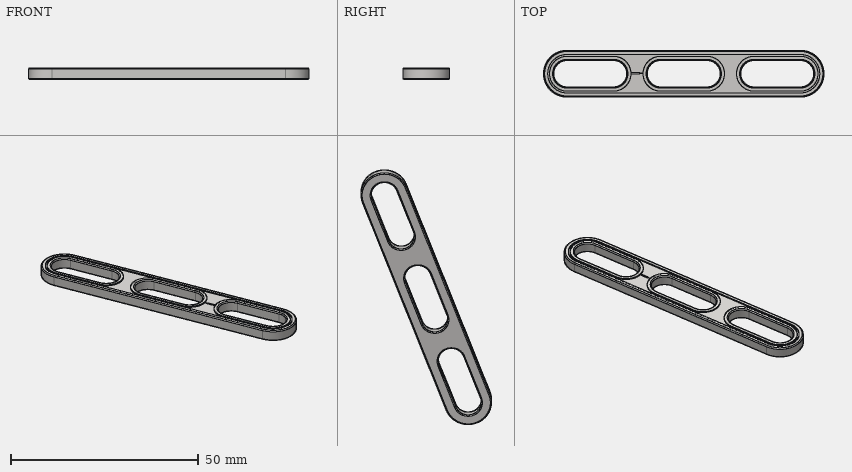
import cadquery as cq

length = 75.0
width = 12.5
thickness = 3.15
edge_chamfer = 0.3

slot_count = 3
slot_pitch = length / slot_count
slot_width = 7.05
slot_straight = slot_pitch - width
slot_length = slot_straight + slot_width

recess_depth = 0.3
outer_rim = 1.1
slot_rim = 1.1
floor_height = thickness - recess_depth

rib_height = 0.1
rib_offset = 0.15
thin_rib_width = 0.1
wide_rib_width = 0.4
wide_rib_length = 2.3

slot_centres = [((i - (slot_count - 1) / 2) * slot_pitch, 0) for i in range(slot_count)]


def make_bar():
    """Round-ended bar with slots through it and every top and bottom edge chamfered."""
    bar = cq.Workplane("XY").slot2D(length, width).extrude(thickness)
    slots = (
        cq.Workplane("XY")
        .pushPoints(slot_centres)
        .slot2D(slot_length, slot_width)
        .extrude(thickness)
    )
    return bar.cut(slots).faces("<Z or >Z").edges().chamfer(edge_chamfer)


def make_recess():
    """Pocket volume between the outer rim and the rims around the slots."""
    recess_floor = cq.Workplane("XY").workplane(offset=floor_height)
    pocket = recess_floor.slot2D(length - 2 * outer_rim, width - 2 * outer_rim).extrude(recess_depth)
    rims = (
        recess_floor.pushPoints(slot_centres)
        .slot2D(slot_length + 2 * slot_rim, slot_width + 2 * slot_rim)
        .extrude(recess_depth)
    )
    return pocket.cut(rims)


def make_rib():
    """Low rib across the first web: a wide stretch at the left, a thin one on to the right rim."""
    rim_gap = slot_pitch - slot_length - 2 * slot_rim
    left_end = -slot_pitch / 2 - rim_gap / 2
    overlap = slot_rim / 2

    def stretch(start, end, rib_width):
        return (
            cq.Workplane("XY")
            .workplane(offset=floor_height)
            .center((start + end) / 2, rib_offset)
            .rect(end - start, rib_width)
            .extrude(rib_height)
        )

    wide = stretch(left_end - overlap, left_end + wide_rib_length, wide_rib_width)
    thin = stretch(left_end, left_end + rim_gap + overlap, thin_rib_width)
    return wide.union(thin)


result = make_bar().cut(make_recess()).union(make_rib())